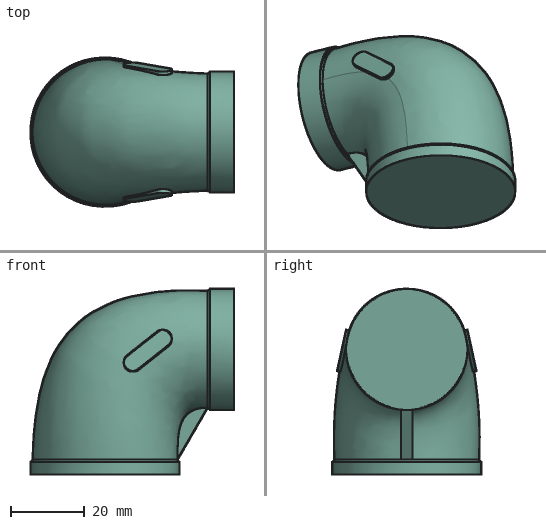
import cadquery as cq
import math

large_collar_diameter = 40.5
small_collar_diameter = 32.95
overall_length = 55.25
overall_height = 50.45
end_face_x = overall_length - large_collar_diameter / 2
small_axis_z = overall_height - small_collar_diameter / 2

large_collar_length = 3.4
small_collar_length = 6.6
bevel_length = 0.6
shoulder_step = 0.2

body_large_radius = 19.65
body_small_radius = 15.9
body_start_z = large_collar_length + bevel_length
body_end_x = end_face_x - small_collar_length - bevel_length
outer_start_control = (-19.0, 32.3)
outer_end_control = (-10.9, 51.75)
inner_start_pull = 8.75
inner_end_pull = 7.55
side_bulge = 0.65
section_count = 13

web_thickness = 3.0

pad_center_x = 11.6
pad_center_z = 33.7
pad_center_y = 17.7
pad_straight_run = 8.2
pad_straight_rise = 6.45
pad_radius = 2.45
pad_lean = 12.4
pad_depth = 3.3


def bezier(points, t):
    """Point at t on the cubic Bezier curve through four (x, z) control points."""
    s = 1 - t
    weights = (s**3, 3 * s**2 * t, 3 * s * t**2, t**3)
    return tuple(sum(w * p[axis] for w, p in zip(weights, points)) for axis in (0, 1))


outer_curve = (
    (-body_large_radius, body_start_z),
    outer_start_control,
    outer_end_control,
    (body_end_x, small_axis_z + body_small_radius),
)
inner_curve = (
    (body_large_radius, body_start_z),
    (body_large_radius, body_start_z + inner_start_pull),
    (body_end_x - inner_end_pull, small_axis_z - body_small_radius),
    (body_end_x, small_axis_z - body_small_radius),
)


def body_section(t):
    """Ellipse spanning the outside and inside curves of the bend at t."""
    outer_x, outer_z = bezier(outer_curve, t)
    inner_x, inner_z = bezier(inner_curve, t)
    across = cq.Vector(inner_x - outer_x, 0, inner_z - outer_z)
    center = cq.Vector((inner_x + outer_x) / 2, 0, (inner_z + outer_z) / 2)
    blend = t**2 * (3 - 2 * t)
    half_width = body_large_radius + (body_small_radius - body_large_radius) * blend
    bulge_share = 4 * t * (1 - t)
    half_width += side_bulge * bulge_share
    plane = cq.Plane(center, across, across.cross(cq.Vector(0, 1, 0)))
    return cq.Workplane(plane).ellipse(across.Length / 2, half_width).wires().val()


def make_body():
    """Tapered elbow body lofted through the sections along the bend."""
    sections = [body_section(i / (section_count - 1)) for i in range(section_count)]
    return cq.Workplane(cq.Solid.makeLoft(sections))


def make_collar(end_plane, length, radius, body_radius):
    """Collar growing inward from its end face, with a bevelled shoulder down to the body."""
    ring = cq.Workplane(end_plane).circle(radius).extrude(length)
    shoulder = (
        cq.Workplane(end_plane)
        .workplane(offset=length)
        .circle(radius - shoulder_step)
        .workplane(offset=bevel_length)
        .circle(body_radius)
        .loft()
    )
    return ring.union(shoulder)


def make_web():
    """Flat web whose free edge runs straight between the two shoulders."""
    return (
        cq.Workplane("XZ")
        .moveTo(*inner_curve[0])
        .lineTo(*inner_curve[3])
        .lineTo(body_end_x, small_axis_z)
        .lineTo(0, body_start_z)
        .close()
        .extrude(web_thickness / 2, both=True)
    )


def make_pad():
    """Slot-shaped pad on the -Y side, sunk into the body from its leaning face."""
    lean = math.radians(pad_lean)
    face_normal = cq.Vector(0, -math.cos(lean), math.sin(lean))
    face_center = cq.Vector(pad_center_x, -pad_center_y, pad_center_z)
    slope_rise = pad_straight_rise / math.cos(lean)
    slot_length = math.hypot(pad_straight_run, slope_rise) + 2 * pad_radius
    slot_angle = math.degrees(math.atan2(slope_rise, pad_straight_run))
    return (
        cq.Workplane(cq.Plane(face_center, cq.Vector(1, 0, 0), face_normal))
        .slot2D(slot_length, 2 * pad_radius, slot_angle)
        .extrude(-pad_depth)
    )


large_end = cq.Plane.XY()
small_end = cq.Plane((end_face_x, 0, small_axis_z), (0, 1, 0), (-1, 0, 0))
pad = make_pad()

result = (
    make_body()
    .union(make_collar(large_end, large_collar_length, large_collar_diameter / 2, body_large_radius))
    .union(make_collar(small_end, small_collar_length, small_collar_diameter / 2, body_small_radius))
    .union(make_web())
    .union(pad)
    .union(pad.mirror("XZ"))
)